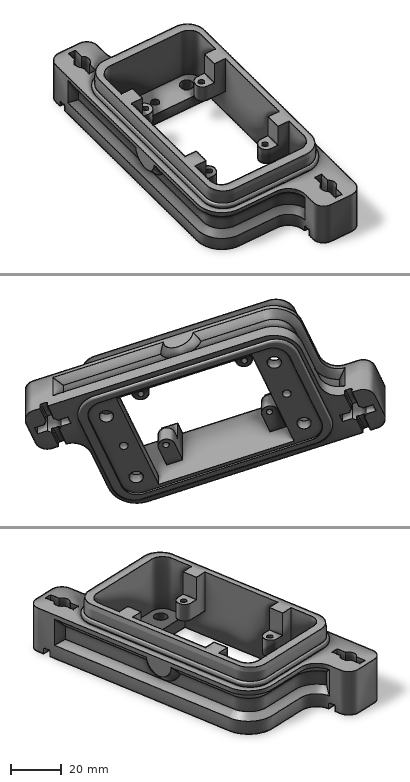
import cadquery as cq
import math

FLANGE_LENGTH = 133.0
FLANGE_WIDTH = 58.0
BLOCK_LENGTH = 95.8
BLOCK_CORNER_RADIUS = 12.0
EAR_WIDTH = 20.0
EAR_CORNER_RADIUS = 5.0
EAR_ROOT_RADIUS = 8.0

TOTAL_HEIGHT = 30.2
BASE_TOP = 1.3
FLANGE_TOP = 21.3

COLLAR_LENGTH = 90.6
COLLAR_WIDTH = 51.2
COLLAR_CORNER_RADIUS = 8.4
COLLAR_LEAD_IN_HEIGHT = 2.1
COLLAR_LEAD_IN = 0.4

BEAD_OVERHANG = 1.2
BEAD_HEIGHT = 2.7
BEAD_LOWER_ROUND = 1.5
BEAD_UPPER_ROUND = 1.17
BASE_ROUND = 1.2

CAVITY_LENGTH = 82.2
CAVITY_WIDTH = 45.2
CAVITY_CORNER_RADIUS = 5.6
FLOOR_TOP = 6.4
FLOOR_OPENING_LENGTH = 57.5
UNDERSIDE_RECESS_DEPTH = 1.0
UNDERSIDE_RECESS_MARGIN = 1.3
LARGE_HOLE_DIAMETER = 5.6
LARGE_HOLE_X = 35.6
LARGE_HOLE_Y = 16.0
SMALL_HOLE_DIAMETER = 3.5
SMALL_HOLE_X = 34.6

POST_X = 22.0
POST_WIDTH = 6.8
POST_BOTTOM = 12.4
POST_LEDGE = 20.0
POST_STEP_Y = 17.3
POST_TIP_Y = 10.6
POST_HOLE_Y = 13.4
POST_HOLE_DIAMETER = 2.5

KEYHOLE_X = 57.0
KEYHOLE_Y = 19.4
KEYHOLE_LENGTH = 14.1
KEYHOLE_SLOT_WIDTH = 3.2
KEYHOLE_DIAMETER = 6.5
NOTCH_WIDTH = 3.2
NOTCH_DEPTH = 2.8
NOTCH_CHAMFER = 0.5

GROOVE_DEPTH = 2.9
GROOVE_BOTTOM = 7.3
GROOVE_FLOOR_BOTTOM = 10.0
GROOVE_FLOOR_TOP = 16.1
GROOVE_TOP = 19.3
GROOVE_START_X = -53.2
GROOVE_START_RUN = 3.3
GROOVE_END_X = 55.7
GROOVE_END_RUN = 4.0
PAD_RADIUS = 6.3

HALF_TURN = 180
CLEARANCE = 1.3


def turned(shape):
    """The same shape on the opposite side of the vertical axis."""
    return shape.rotate((0, 0, 0), (0, 0, 1), HALF_TURN)


def rounded_block(length, width, radius, bottom, top):
    block = cq.Workplane("XY").workplane(offset=bottom).rect(length, width).extrude(top - bottom)
    return block.edges("|Z").fillet(radius)


def collar_block(overhang, bottom, top):
    """Block with the collar outline grown outwards by the given overhang."""
    return rounded_block(
        COLLAR_LENGTH + 2 * overhang,
        COLLAR_WIDTH + 2 * overhang,
        COLLAR_CORNER_RADIUS + overhang,
        bottom,
        top,
    )


def flange_wire(inset, level):
    """Flange outline moved into the material by the given inset."""
    half_width = FLANGE_WIDTH / 2 - inset
    block_x = BLOCK_LENGTH / 2 - inset
    ear_x = FLANGE_LENGTH / 2 - inset
    ear_inner_y = FLANGE_WIDTH / 2 - EAR_WIDTH + inset
    block_radius = BLOCK_CORNER_RADIUS - inset
    ear_radius = EAR_CORNER_RADIUS - inset
    root_radius = EAR_ROOT_RADIUS + inset
    diagonal = math.sqrt(0.5)

    def trace_half(path, side):
        """From the block corner to the far end of the ear; side is 1 at +X and -1 at -X."""

        def arc(path, centre_x, centre_y, radius, toward_x, toward_y, end_x, end_y):
            middle_x = centre_x + radius * diagonal * toward_x
            middle_y = centre_y + radius * diagonal * toward_y
            return path.threePointArc((side * middle_x, side * middle_y), (side * end_x, side * end_y))

        corner_x, corner_y = block_x - block_radius, block_radius - half_width
        path = path.lineTo(side * corner_x, -side * half_width)
        path = arc(path, corner_x, corner_y, block_radius, 1, -1, block_x, corner_y)

        root_x, root_y = block_x + root_radius, ear_inner_y - root_radius
        path = path.lineTo(side * block_x, side * root_y)
        path = arc(path, root_x, root_y, root_radius, -1, 1, root_x, ear_inner_y)

        tip_x = ear_x - ear_radius
        lower_y, upper_y = ear_inner_y + ear_radius, half_width - ear_radius
        path = path.lineTo(side * tip_x, side * ear_inner_y)
        path = arc(path, tip_x, lower_y, ear_radius, 1, -1, ear_x, lower_y)
        path = path.lineTo(side * ear_x, side * upper_y)
        return arc(path, tip_x, upper_y, ear_radius, 1, 1, tip_x, half_width)

    path = cq.Workplane("XY").workplane(offset=level).moveTo(ear_radius - ear_x, -half_width)
    path = trace_half(path, 1)
    path = trace_half(path, -1)
    return path.close().val()


def ruled_stack(sections):
    """Solid through a pile of similar outlines, straight from each one to the next."""
    return cq.Workplane(cq.Solid.makeLoft(sections, True))


def make_collar():
    collar = collar_block(0, FLANGE_TOP - CLEARANCE, TOTAL_HEIGHT)
    return collar.faces(">Z").chamfer(COLLAR_LEAD_IN_HEIGHT, COLLAR_LEAD_IN)


def make_bead():
    bead = collar_block(BEAD_OVERHANG, FLANGE_TOP, FLANGE_TOP + BEAD_HEIGHT)
    return bead.faces("<Z").edges().fillet(BEAD_LOWER_ROUND).faces(">Z").edges().fillet(BEAD_UPPER_ROUND)


def make_base_plate():
    plate = collar_block(BEAD_OVERHANG, 0, BASE_TOP)
    return plate.faces("<Z").edges().fillet(BASE_ROUND)


def make_flange():
    return ruled_stack([flange_wire(0, BASE_TOP), flange_wire(0, FLANGE_TOP)])


def make_groove():
    """Cutter for the groove that starts on the -Y side and ends on the +X ear."""
    waist = ruled_stack([
        flange_wire(0, GROOVE_BOTTOM),
        flange_wire(GROOVE_DEPTH, GROOVE_FLOOR_BOTTOM),
        flange_wire(GROOVE_DEPTH, GROOVE_FLOOR_TOP),
        flange_wire(0, GROOVE_TOP),
    ])
    start_y = -FLANGE_WIDTH / 2
    end_y = FLANGE_WIDTH / 2 - EAR_WIDTH
    reach = (
        cq.Workplane("XY")
        .workplane(offset=GROOVE_BOTTOM)
        .moveTo(GROOVE_START_X, start_y)
        .lineTo(GROOVE_END_X, start_y)
        .lineTo(GROOVE_END_X, end_y)
        .lineTo(GROOVE_END_X - GROOVE_END_RUN, end_y + GROOVE_DEPTH)
        .lineTo(0, end_y + GROOVE_DEPTH)
        .lineTo(GROOVE_START_X + GROOVE_START_RUN, start_y + GROOVE_DEPTH)
        .close()
        .extrude(GROOVE_TOP - GROOVE_BOTTOM)
    )
    blank = ruled_stack([flange_wire(0, GROOVE_BOTTOM), flange_wire(0, GROOVE_TOP)])
    return blank.intersect(reach).cut(waist).cut(make_pad())


def make_pad():
    """Cone at the groove's upper edge, flaring from the flange face down to the groove floor."""
    cone = cq.Solid.makeCone(
        PAD_RADIUS,
        PAD_RADIUS + GROOVE_DEPTH,
        GROOVE_DEPTH,
        pnt=cq.Vector(0, -FLANGE_WIDTH / 2, GROOVE_TOP),
        dir=cq.Vector(0, 1, 0),
    )
    return cq.Workplane(cone)


def make_cavity():
    cavity = rounded_block(
        CAVITY_LENGTH, CAVITY_WIDTH, CAVITY_CORNER_RADIUS, FLOOR_TOP, TOTAL_HEIGHT + CLEARANCE
    )
    opening = cq.Workplane("XY").rect(FLOOR_OPENING_LENGTH, CAVITY_WIDTH).extrude(TOTAL_HEIGHT)
    recess = rounded_block(
        CAVITY_LENGTH + 2 * UNDERSIDE_RECESS_MARGIN,
        CAVITY_WIDTH + 2 * UNDERSIDE_RECESS_MARGIN,
        CAVITY_CORNER_RADIUS + UNDERSIDE_RECESS_MARGIN,
        0,
        UNDERSIDE_RECESS_DEPTH,
    )
    return cavity.union(opening).union(recess)


def make_floor_holes():
    large_spots = [(x, y) for x in (-LARGE_HOLE_X, LARGE_HOLE_X) for y in (-LARGE_HOLE_Y, LARGE_HOLE_Y)]
    small_spots = [(-SMALL_HOLE_X, 0), (SMALL_HOLE_X, 0)]
    large = cq.Workplane("XY").pushPoints(large_spots).circle(LARGE_HOLE_DIAMETER / 2).extrude(TOTAL_HEIGHT)
    small = cq.Workplane("XY").pushPoints(small_spots).circle(SMALL_HOLE_DIAMETER / 2).extrude(TOTAL_HEIGHT)
    return large.union(small)


def make_post(x):
    """Stepped screw post on the +Y inner wall."""
    root_y = CAVITY_WIDTH / 2 + CLEARANCE
    round_y = POST_TIP_Y + POST_WIDTH / 2
    left, right = x - POST_WIDTH / 2, x + POST_WIDTH / 2
    ledge = (
        cq.Workplane("XY")
        .workplane(offset=POST_BOTTOM)
        .moveTo(left, root_y)
        .lineTo(left, round_y)
        .threePointArc((x, POST_TIP_Y), (right, round_y))
        .lineTo(right, root_y)
        .close()
        .extrude(POST_LEDGE - POST_BOTTOM)
    )
    tall = (
        cq.Workplane("XY")
        .workplane(offset=POST_BOTTOM)
        .center(x, (POST_STEP_Y + root_y) / 2)
        .rect(POST_WIDTH, root_y - POST_STEP_Y)
        .extrude(TOTAL_HEIGHT - POST_BOTTOM)
    )
    hole = cq.Workplane("XY").center(x, POST_HOLE_Y).circle(POST_HOLE_DIAMETER / 2).extrude(TOTAL_HEIGHT)
    return ledge.union(tall).cut(hole)


def make_keyhole():
    """Round hole with a slot through it, in the +X ear."""
    centre = cq.Workplane("XY").center(KEYHOLE_X, KEYHOLE_Y)
    slot = centre.rect(KEYHOLE_LENGTH, KEYHOLE_SLOT_WIDTH).extrude(TOTAL_HEIGHT)
    return slot.union(centre.circle(KEYHOLE_DIAMETER / 2).extrude(TOTAL_HEIGHT))


def make_notch():
    """Channel under the +X ear, running across its whole width."""
    notch = (
        cq.Workplane("XY")
        .workplane(offset=BASE_TOP)
        .center(KEYHOLE_X, FLANGE_WIDTH / 2)
        .rect(NOTCH_WIDTH, 2 * (EAR_WIDTH + CLEARANCE))
        .extrude(NOTCH_DEPTH)
    )
    return notch.edges("|Y and >Z").chamfer(NOTCH_CHAMFER)


result = make_flange().union(make_base_plate()).union(make_collar()).union(make_bead())

for feature in (make_groove(), make_keyhole(), make_notch()):
    result = result.cut(feature).cut(turned(feature))

result = result.cut(make_cavity()).cut(make_floor_holes())

for post_x in (-POST_X, POST_X):
    post = make_post(post_x)
    result = result.union(post).union(turned(post))